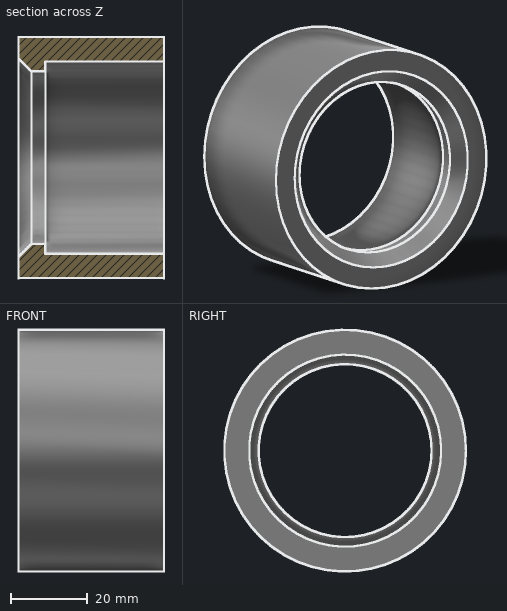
import cadquery as cq

length = 38.0
outer_diameter = 63.0
mouth_diameter = 51.8
throat_diameter = 45.0
recess_diameter = 50.0
taper_depth = (mouth_diameter - throat_diameter) / 2
throat_length = 3.65

front_x = -length / 2
back_x = length / 2
throat_start_x = front_x + taper_depth
throat_end_x = throat_start_x + throat_length

half_section = (
    cq.Workplane("XY")
    .moveTo(front_x, outer_diameter / 2)
    .lineTo(front_x, mouth_diameter / 2)
    .lineTo(throat_start_x, throat_diameter / 2)
    .lineTo(throat_end_x, throat_diameter / 2)
    .lineTo(throat_end_x, recess_diameter / 2)
    .lineTo(back_x, recess_diameter / 2)
    .lineTo(back_x, outer_diameter / 2)
    .close()
)

result = half_section.revolve(360, (0, 0, 0), (1, 0, 0))